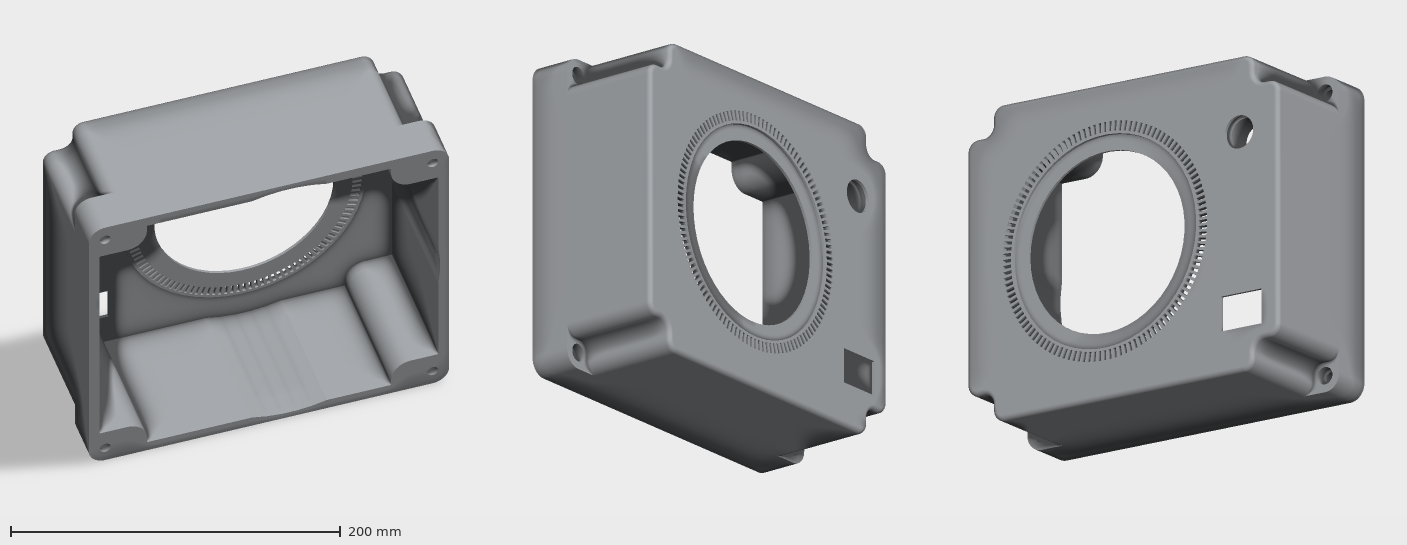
import cadquery as cq
DEPTH = 91.5
WIDTH = 230.0
HEIGHT = 200.0
CORNER_RADIUS = 21.0 / 2

SIDE_WALL = 7.0
FRONT_WALL = 2.0
FRONT_EDGE_FILLET = 3.0

RECESS_DEPTH = 64.6
RECESS_SIZE = 18.9
RECESS_RADIUS = 15.0 / 2
SCREW_HOLE_DIAMETER = 7.0
SCREW_HEAD_DIAMETER = 11.0
SCREW_HEAD_DEPTH = 6.0

BLOCK_WALL = 5.0
BLOCK_EXTRA_WIDTH = 13.0
BLOCK_WIDTH = RECESS_SIZE + BLOCK_WALL + BLOCK_EXTRA_WIDTH
BLOCK_HEIGHT = RECESS_SIZE + BLOCK_WALL
BLOCK_RADIUS = 25.0 / 2
BLOCK_ROOT_FILLET = 0.7

OPENING_Y = 13.0
OPENING_Z = 0.0
OPENING_DIAMETER = 115.0
SEAT_DIAMETER = 135.0
SEAT_DEPTH = 2.0
RING_DIAMETER = 155.0
RING_REAR_X = 4.0
SLOT_COUNT = 120
SLOT_INNER_RADIUS = 69.2
SLOT_OUTER_RADIUS = 75.5
SLOT_WIDTH = 2.0

CLEARANCE_DIAMETER = 192.3

ROUND_HOLE_DIAMETER = 21.0
ROUND_HOLE_Y = -86.0
ROUND_HOLE_Z = 52.0
GROOVE_DIAMETER = 25.0
GROOVE_END_X = 7.0
SLEEVE_DIAMETER = 30.0
SLEEVE_END_X = 23.0

WINDOW_WIDTH = 29.7
WINDOW_HEIGHT = 22.0
WINDOW_Y = -87.6
WINDOW_Z = -61.2

CORNERS = [(side_y, side_z) for side_y in (-1, 1) for side_z in (-1, 1)]


def box(x_start, x_end, width, height):
    """Box between two X positions, centred on the X axis."""
    return cq.Workplane("YZ", origin=(x_start, 0, 0)).rect(width, height).extrude(x_end - x_start)


def cylinder(x_start, x_end, diameter, points):
    """Cylinders along X between two X positions, at the given (Y, Z) points."""
    plane = cq.Workplane("YZ", origin=(x_start, 0, 0))
    return plane.pushPoints(points).circle(diameter / 2).extrude(x_end - x_start)


def notched_prism(x_start, x_end, width, height, notch_width, notch_height, bottom_radius, mouth_radius):
    """Prism along X with a rounded notch in each of its four corners."""
    half_width = width / 2
    half_height = height / 2
    prism = box(x_start, x_end, width, height)
    for side_y, side_z in CORNERS:
        notch = box(x_start, x_end, 2 * notch_width, 2 * notch_height)
        prism = prism.cut(notch.translate((0, side_y * half_width, side_z * half_height)))

    reach_y = half_width - notch_width
    reach_z = half_height - notch_height
    bottoms = [(side_y * reach_y, side_z * reach_z) for side_y, side_z in CORNERS]
    mouths = [(side_y * half_width, side_z * reach_z) for side_y, side_z in CORNERS]
    mouths += [(side_y * reach_y, side_z * half_height) for side_y, side_z in CORNERS]
    for points, radius in ((bottoms, bottom_radius), (mouths, mouth_radius)):
        for y, z in points:
            edge = cq.selectors.NearestToPointSelector(((x_start + x_end) / 2, y, z))
            prism = prism.edges("|X").edges(edge).fillet(radius)
    return prism


body = notched_prism(0, DEPTH, WIDTH, HEIGHT, RECESS_SIZE, RECESS_SIZE, RECESS_RADIUS, RECESS_RADIUS)
body = body.faces("<X").edges().fillet(FRONT_EDGE_FILLET)
body = body.union(box(RECESS_DEPTH, DEPTH, WIDTH, HEIGHT).edges("|X").fillet(CORNER_RADIUS))

body = body.cut(
    notched_prism(
        FRONT_WALL,
        DEPTH,
        WIDTH - 2 * SIDE_WALL,
        HEIGHT - 2 * SIDE_WALL,
        BLOCK_WIDTH - SIDE_WALL,
        BLOCK_HEIGHT - SIDE_WALL,
        BLOCK_RADIUS,
        BLOCK_ROOT_FILLET,
    )
)
opening_point = [(OPENING_Y, OPENING_Z)]
body = body.cut(cylinder(FRONT_WALL, DEPTH, CLEARANCE_DIAMETER, opening_point))

screw_points = [
    (side_y * (WIDTH / 2 - CORNER_RADIUS), side_z * (HEIGHT / 2 - CORNER_RADIUS))
    for side_y, side_z in CORNERS
]
body = body.cut(cylinder(RECESS_DEPTH, DEPTH, SCREW_HOLE_DIAMETER, screw_points))
body = body.cut(
    cylinder(RECESS_DEPTH, RECESS_DEPTH + SCREW_HEAD_DEPTH, SCREW_HEAD_DIAMETER, screw_points)
)

body = body.union(cylinder(FRONT_WALL, RING_REAR_X, RING_DIAMETER, opening_point))
body = body.cut(cylinder(0, SEAT_DEPTH, SEAT_DIAMETER, opening_point))
body = body.cut(cylinder(0, RING_REAR_X, OPENING_DIAMETER, opening_point))

slots = (
    cq.Workplane("YZ")
    .center(OPENING_Y, OPENING_Z)
    .polarArray((SLOT_INNER_RADIUS + SLOT_OUTER_RADIUS) / 2, 0, 360, SLOT_COUNT)
    .rect(SLOT_OUTER_RADIUS - SLOT_INNER_RADIUS, SLOT_WIDTH)
    .extrude(RING_REAR_X)
)
body = body.cut(slots)

hole_point = [(ROUND_HOLE_Y, ROUND_HOLE_Z)]
body = body.union(cylinder(FRONT_WALL, SLEEVE_END_X, SLEEVE_DIAMETER, hole_point))
body = body.cut(cylinder(FRONT_WALL, GROOVE_END_X, GROOVE_DIAMETER, hole_point))
body = body.cut(cylinder(0, SLEEVE_END_X, ROUND_HOLE_DIAMETER, hole_point))

body = body.cut(box(0, FRONT_WALL, WINDOW_WIDTH, WINDOW_HEIGHT).translate((0, WINDOW_Y, WINDOW_Z)))

result = body